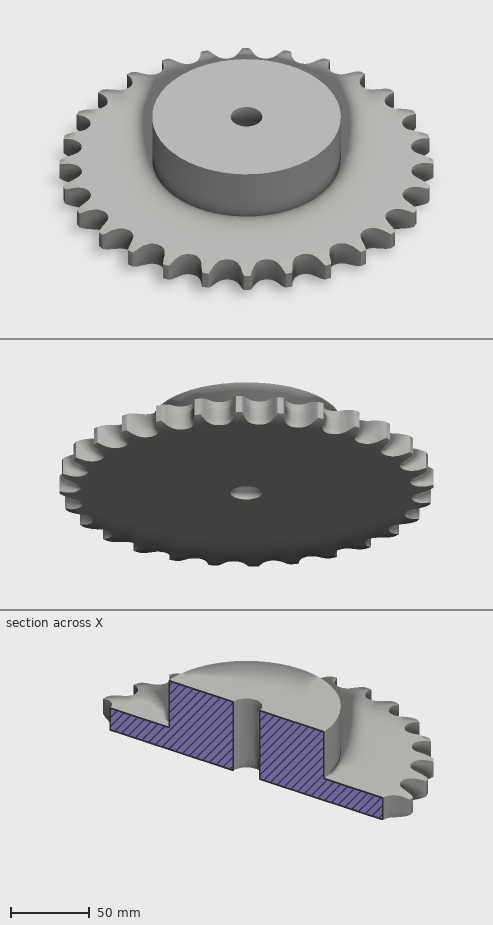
import cadquery as cq
import math

TOOTH_COUNT = 28
OVERALL_WIDTH = 236.5
PITCH_RADIUS = 113.3
ROLLER_DIAMETER = 15.9
PLATE_THICKNESS = 16.0
FACE_RADIUS = 108.0
SIDE_RADIUS = 25.3
HUB_DIAMETER = 120.0
TOTAL_HEIGHT = 50.0
BORE_DIAMETER = 20.0
CUT_MARGIN = 2.4

SEAT_CLEARANCE = 1.005
SEAT_RADIUS = SEAT_CLEARANCE * ROLLER_DIAMETER / 2
WORKING_CENTRE_OFFSET = 0.8 * ROLLER_DIAMETER
WORKING_RADIUS = WORKING_CENTRE_OFFSET + SEAT_RADIUS
TOPPING_CENTRE_OFFSET = 1.4 * ROLLER_DIAMETER
HALF_PITCH_ANGLE = math.radians(180 / TOOTH_COUNT)
SEAT_END_ANGLE = math.radians(90 - (35 + 60 / TOOTH_COUNT))
WORKING_END_ANGLE = SEAT_END_ANGLE + math.radians(18 - 56 / TOOTH_COUNT)


def arc_point(centre, radius, angle):
    """Point on an arc, with the angle measured from the inward radial direction towards +Y."""
    return (centre[0] - radius * math.cos(angle), centre[1] + radius * math.sin(angle))


seat_centre = (PITCH_RADIUS, 0)
seat_bottom = arc_point(seat_centre, SEAT_RADIUS, 0)
seat_end = arc_point(seat_centre, SEAT_RADIUS, SEAT_END_ANGLE)

working_centre = arc_point(seat_centre, -WORKING_CENTRE_OFFSET, SEAT_END_ANGLE)
working_middle = arc_point(working_centre, WORKING_RADIUS, (SEAT_END_ANGLE + WORKING_END_ANGLE) / 2)
working_end = arc_point(working_centre, WORKING_RADIUS, WORKING_END_ANGLE)

topping_centre = (
    PITCH_RADIUS - TOPPING_CENTRE_OFFSET * math.sin(HALF_PITCH_ANGLE),
    TOPPING_CENTRE_OFFSET * math.cos(HALF_PITCH_ANGLE),
)
to_topping_x = topping_centre[0] - working_end[0]
to_topping_y = topping_centre[1] - working_end[1]
flat_direction = (math.sin(WORKING_END_ANGLE), math.cos(WORKING_END_ANGLE))
flat_length = to_topping_x * flat_direction[0] + to_topping_y * flat_direction[1]
topping_radius = to_topping_y * flat_direction[0] - to_topping_x * flat_direction[1]
flat_end = (
    working_end[0] + flat_length * flat_direction[0],
    working_end[1] + flat_length * flat_direction[1],
)


def topping_point(x):
    """Point on the topping curve at the given distance along X."""
    drop = math.sqrt(topping_radius**2 - (x - topping_centre[0])**2)
    return (x, topping_centre[1] - drop)


TIP_RADIUS = math.hypot(*topping_point(OVERALL_WIDTH / 2))


def plate_blank():
    """Disc whose rim narrows on both sides along arcs tangent to the flat faces."""
    run = TIP_RADIUS - FACE_RADIUS

    def side_drop(distance):
        return SIDE_RADIUS - math.sqrt(SIDE_RADIUS**2 - distance**2)

    tip_drop = side_drop(run)
    middle_radius = FACE_RADIUS + run / 2
    middle_drop = side_drop(run / 2)
    return (
        cq.Workplane("XZ")
        .lineTo(FACE_RADIUS, 0)
        .threePointArc((middle_radius, middle_drop), (TIP_RADIUS, tip_drop))
        .lineTo(TIP_RADIUS, PLATE_THICKNESS - tip_drop)
        .threePointArc((middle_radius, PLATE_THICKNESS - middle_drop), (FACE_RADIUS, PLATE_THICKNESS))
        .lineTo(0, PLATE_THICKNESS)
        .close()
        .revolve(360, (0, 0, 0), (0, 1, 0))
    )


def mirrored(point):
    return (point[0], -point[1])


def tooth_gap():
    """Cutter for the gap on the +X axis: roller seat, working curves, flats and topping curves."""
    mouth_x = OVERALL_WIDTH / 2 + CUT_MARGIN
    mouth = topping_point(mouth_x)
    topping_middle = topping_point((flat_end[0] + mouth_x) / 2)
    return (
        cq.Workplane("XY")
        .moveTo(*mirrored(mouth))
        .threePointArc(mirrored(topping_middle), mirrored(flat_end))
        .lineTo(*mirrored(working_end))
        .threePointArc(mirrored(working_middle), mirrored(seat_end))
        .threePointArc(seat_bottom, seat_end)
        .threePointArc(working_middle, working_end)
        .lineTo(*flat_end)
        .threePointArc(topping_middle, mouth)
        .close()
        .extrude(PLATE_THICKNESS)
    )


def toothed_plate():
    plate = plate_blank()
    gap = tooth_gap()
    for index in range(TOOTH_COUNT):
        angle = index * 360 / TOOTH_COUNT
        plate = plate.cut(gap.rotate((0, 0, 0), (0, 0, 1), angle))
    return plate


hub = cq.Workplane("XY").circle(HUB_DIAMETER / 2).extrude(TOTAL_HEIGHT)
bore = cq.Workplane("XY").circle(BORE_DIAMETER / 2).extrude(TOTAL_HEIGHT)

result = toothed_plate().union(hub).cut(bore)